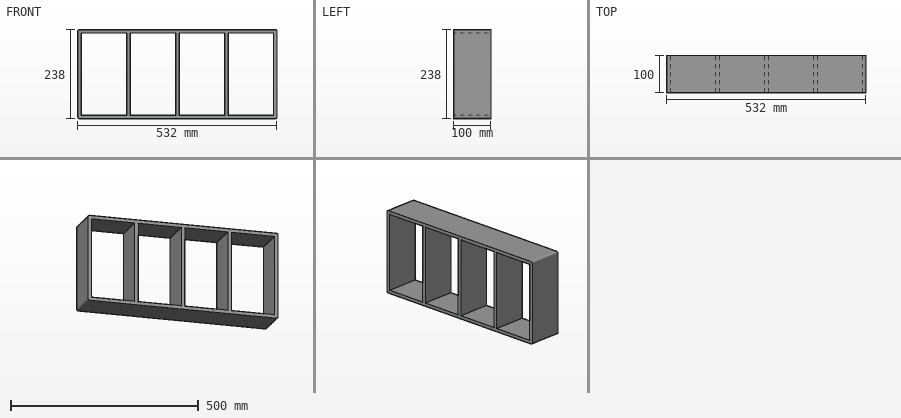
import cadquery as cq

length = 532.0
depth = 100.0
height = 238.0

upright_thickness = 10.0
plate_thickness = 9.5
corner_radius = 5.5
bay_count = 4

bay_width = (length - (bay_count + 1) * upright_thickness) / bay_count
bay_height = height - 2 * plate_thickness
bay_pitch = bay_width + upright_thickness

body = cq.Workplane("XY").box(length, depth, height)
body = body.edges("|Y").fillet(corner_radius)

first_bay_x = -bay_pitch * (bay_count - 1) / 2
for bay in range(bay_count):
    bay_x = first_bay_x + bay * bay_pitch
    opening = cq.Workplane("XY").box(bay_width, depth, bay_height)
    body = body.cut(opening.translate((bay_x, 0, 0)))

result = body